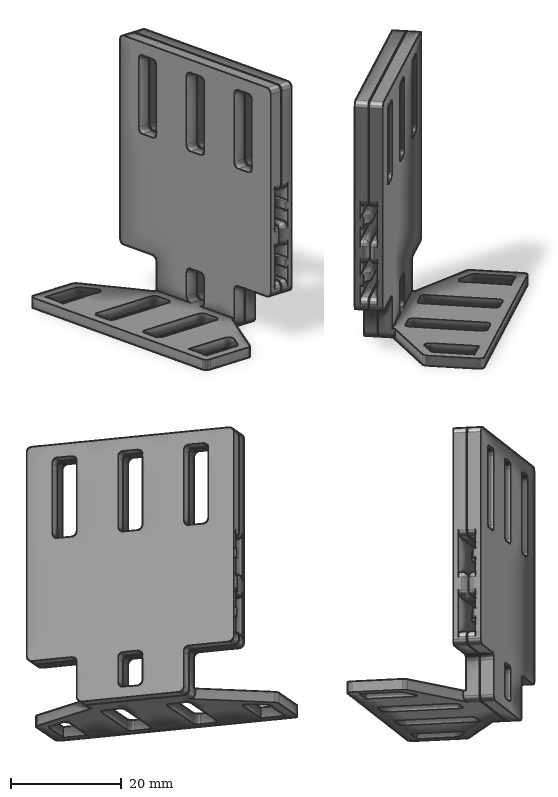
import cadquery as cq
import math

total_height = 48.5
plate_size = 40.0
pair_thickness = 5.2
plate_gap = 0.2
plate_thickness = (pair_thickness - plate_gap) / 2
corner_radius = 1.0
wall = 2.0
slot_gap = 8.0
slot_length = 15.05
top_margin = 2.45

foot_width = 46.75
foot_depth = 19.0
foot_side_length = 10.95
foot_slope = math.radians(30)
slot_width = (foot_width - 2 * wall - 3 * slot_gap) / 4
slot_pitch = slot_width + slot_gap

channel_floor = 1.0
channel_depth = plate_thickness - channel_floor
channel_height = 17.55
channel_center_z = 19.75
bar_height = 4.4
bar_round = 0.95
rib_height = 2.0
rib_tip_height = 0.82
rib_low_height = 0.3
rib_saddle_radius = 2.0
rib_round = 0.25

plate_bottom = total_height - plate_size
tab_width = slot_width + 2 * slot_gap
half_plate = plate_size / 2
half_tab = tab_width / 2
half_foot = foot_width / 2
front_inner_y = plate_thickness
back_inner_y = plate_thickness + plate_gap
back_outer_y = pair_thickness
rib_offset = (channel_height + bar_height) / 4


def slab(outline, y_start, y_end):
    """Extrude an outline drawn in X and Z between two y positions."""
    return outline.extrude(y_start - y_end).translate((0, y_start, 0))


def slot_cutter(center_x, z_bottom, z_top):
    """Rounded slot running through both plates."""
    slot = cq.Workplane("XZ").center(center_x, (z_bottom + z_top) / 2).rect(slot_width, z_top - z_bottom)
    return slab(slot, 0, back_outer_y).edges("|Y").fillet(corner_radius)


def plate(y_start, y_end):
    """Square plate with a tab below it, three upper slots and one slot in the tab."""
    outline = cq.Workplane("XZ").polyline([
        (-half_tab, 0),
        (half_tab, 0),
        (half_tab, plate_bottom),
        (half_plate, plate_bottom),
        (half_plate, total_height),
        (-half_plate, total_height),
        (-half_plate, plate_bottom),
        (-half_tab, plate_bottom),
    ]).close()
    body = slab(outline, y_start, y_end).edges("|Y").fillet(corner_radius)
    slot_top = total_height - top_margin
    for column in (-1, 0, 1):
        body = body.cut(slot_cutter(column * slot_pitch, slot_top - slot_length, slot_top))
    return body.cut(slot_cutter(0, wall, plate_bottom))


def channel(y_start, y_end):
    """Channel from side to side whose mouths flare open with round edges."""
    half_height = channel_height / 2
    mouth = half_height + corner_radius
    throat = half_plate - corner_radius
    arc_inset = corner_radius * (1 - math.sqrt(0.5))
    arc_x = half_plate - arc_inset
    arc_z = half_height + arc_inset
    outline = (
        cq.Workplane("XZ")
        .center(0, channel_center_z)
        .moveTo(-throat, -half_height)
        .lineTo(throat, -half_height)
        .threePointArc((arc_x, -arc_z), (half_plate, -mouth))
        .lineTo(half_plate, mouth)
        .threePointArc((arc_x, arc_z), (throat, half_height))
        .lineTo(-throat, half_height)
        .threePointArc((-arc_x, arc_z), (-half_plate, mouth))
        .lineTo(-half_plate, -mouth)
        .threePointArc((-arc_x, -arc_z), (-throat, -half_height))
        .close()
    )
    return slab(outline, y_start, y_end)


def channel_bar(y_start, y_end, rounded_side):
    """Bar along the middle of the channel, rounded on the side that faces the other plate."""
    outline = cq.Workplane("XZ").center(0, channel_center_z).rect(plate_size, bar_height)
    bar = slab(outline, y_start, y_end).edges("|Y").fillet(corner_radius)
    return bar.faces(rounded_side).edges().fillet(bar_round)


def channel_rib(center_z):
    """Thin rib on the back channel floor with a concave saddle near both ends."""
    floor_y = back_inner_y + channel_depth
    outer_angle = -math.acos(1 - (rib_tip_height - rib_low_height) / rib_saddle_radius)
    inner_angle = math.acos(1 - (channel_depth - rib_low_height) / rib_saddle_radius)

    def saddle_point(angle):
        """Distance from the middle of the rib and y position on the saddle arc."""
        along = half_plate - rib_saddle_radius * (math.sin(angle) - math.sin(outer_angle))
        height = rib_low_height + rib_saddle_radius * (1 - math.cos(angle))
        return along, floor_y - height

    tip_x, tip_y = saddle_point(outer_angle)
    low_x, low_y = saddle_point(0)
    top_x, top_y = saddle_point(inner_angle)
    rib = (
        cq.Workplane("XY")
        .moveTo(-tip_x, floor_y)
        .lineTo(-tip_x, tip_y)
        .threePointArc((-low_x, low_y), (-top_x, top_y))
        .lineTo(top_x, top_y)
        .threePointArc((low_x, low_y), (tip_x, tip_y))
        .lineTo(tip_x, floor_y)
        .close()
        .extrude(rib_height)
        .translate((0, 0, center_z - rib_height / 2))
    )
    return rib.edges("not(>Y)").fillet(rib_round)


def foot():
    """Flat foot in front of the plate, with sloped shoulders and four windows."""
    slope = math.tan(foot_slope)
    front_y = -foot_depth
    shoulder_y = front_y + foot_side_length
    root_x = half_foot + shoulder_y / slope
    body = (
        cq.Workplane("XY")
        .polyline([
            (-half_foot, front_y),
            (half_foot, front_y),
            (half_foot, shoulder_y),
            (root_x, 0),
            (-root_x, 0),
            (-half_foot, shoulder_y),
        ])
        .close()
        .extrude(wall)
    )
    body = body.edges("|Z and (<X or >X)").fillet(corner_radius)

    window_front = front_y + wall
    outer_x = half_foot - wall
    inner_x = outer_x - slot_width
    outer_y = shoulder_y + wall * slope - wall / math.cos(foot_slope)
    inner_y = outer_y + slot_width * slope
    for side in (-1, 1):
        straight = (
            cq.Workplane("XY")
            .center(side * slot_pitch / 2, -foot_depth / 2)
            .rect(slot_width, foot_depth - 2 * wall)
            .extrude(wall)
            .edges("|Z")
            .fillet(corner_radius)
        )
        sloped = (
            cq.Workplane("XY")
            .polyline([
                (side * inner_x, window_front),
                (side * outer_x, window_front),
                (side * outer_x, outer_y),
                (side * inner_x, inner_y),
            ])
            .close()
            .extrude(wall)
        )
        sloped = sloped.edges("|Z and (not <Y)").fillet(corner_radius)
        body = body.cut(straight).cut(sloped)
    return body


def neck():
    """Short forward stretch of the tab that joins it to the foot."""
    neck_end = foot_side_length - foot_depth + (half_foot - half_tab) * math.tan(foot_slope)
    outline = cq.Workplane("XZ").center(0, wall / 2).rect(tab_width, wall)
    return slab(outline, neck_end, 0).edges("|Y and <Z").fillet(corner_radius)


front_floor_y = front_inner_y - channel_depth
front_bracket = plate(0, front_inner_y).cut(channel(front_floor_y, front_inner_y))
front_bracket = front_bracket.union(channel_bar(front_floor_y, front_inner_y, ">Y"))
front_bracket = front_bracket.union(neck()).union(foot())

back_floor_y = back_inner_y + channel_depth
back_plate = plate(back_inner_y, back_outer_y).cut(channel(back_inner_y, back_floor_y))
back_plate = back_plate.union(channel_bar(back_inner_y, back_floor_y, "<Y"))
for side in (-1, 1):
    back_plate = back_plate.union(channel_rib(channel_center_z + side * rib_offset))

result = cq.Compound.makeCompound([front_bracket.val(), back_plate.val()])